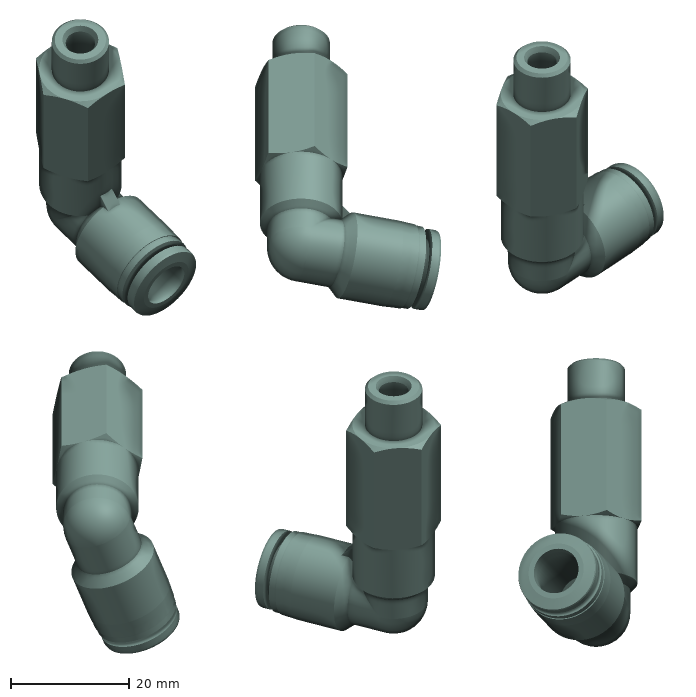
import cadquery as cq
import math

height = 51.4
port_end = 23.05
sleeve_radius = 14.8 / 2
port_axis_z = sleeve_radius

hex_flats = 14.0
hex_corners = hex_flats / math.cos(math.pi / 6)
hex_bottom = 22.45
hex_top = 43.45
hex_chamfer_angle = math.radians(30)
envelope_margin = 0.5
body_radius = hex_flats / 2
body_bottom = 12.5
stem_radius = 9.7 / 2
stem_chamfer = 0.5
elbow_radius = 5.8
body_cone_bottom = body_bottom - (body_radius - elbow_radius)

cone_start = 5.95
sleeve_start = 7.75
taper_start = 15.8
taper_end = 18.7
taper_end_radius = 7.25
rim_radius = 7.1
rim_end = 20.0
rim_face_radius = 6.35
sleeve_end = 20.15
neck_radius = 9.9 / 2
neck_flare_start = 20.75
neck_flare_radius = 5.15
collar_start = 21.1
collar_radius = 13.8 / 2
collar_bevel_start = 22.4
collar_face_start = 22.7
collar_face_outer_radius = 6.8
collar_face_inner_radius = 4.9

web_width = 2.5
web_top = 16.8

stem_bore_radius = 5.0 / 2
stem_bore_depth = 10.3
stem_countersink_radius = 3.05
countersink_depth = 0.9
passage_radius = 4.4 / 2
tube_bore_radius = 7.9 / 2
tube_bore_start = sleeve_start


def cylinder_z(radius, bottom, top):
    return cq.Workplane("XY").workplane(offset=bottom).circle(radius).extrude(top - bottom)


def cylinder_x(radius, start, end):
    plane = cq.Plane(origin=(start, 0, port_axis_z), xDir=(0, 1, 0), normal=(1, 0, 0))
    return cq.Workplane(plane).circle(radius).extrude(end - start)


def ball(radius):
    return cq.Workplane("XY").sphere(radius).translate((0, 0, port_axis_z))


def revolve_z(points):
    """Revolve (radius, z) points about the upright axis."""
    return cq.Workplane("XZ").polyline(points).close().revolve(360, (0, 0, 0), (0, 1, 0))


def make_elbow():
    upright = cylinder_z(elbow_radius, port_axis_z, body_bottom)
    return ball(elbow_radius).union(upright).union(cylinder_x(elbow_radius, 0, sleeve_start))


def make_body():
    return revolve_z([
        (0, body_cone_bottom),
        (elbow_radius, body_cone_bottom),
        (body_radius, body_bottom),
        (body_radius, hex_bottom),
        (0, hex_bottom),
    ])


def make_hexagon():
    """Hexagon with flats facing X and conical chamfers on both ends."""
    prism = (
        cq.Workplane("XY").workplane(offset=hex_bottom)
        .polygon(6, hex_corners).extrude(hex_top - hex_bottom)
        .rotate((0, 0, 0), (0, 0, 1), 30)
    )
    envelope_radius = hex_corners / 2 + envelope_margin
    cone_height = (envelope_radius - body_radius) * math.tan(hex_chamfer_angle)
    envelope = revolve_z([
        (0, hex_bottom),
        (body_radius, hex_bottom),
        (envelope_radius, hex_bottom + cone_height),
        (envelope_radius, hex_top - cone_height),
        (body_radius, hex_top),
        (0, hex_top),
    ])
    return prism.intersect(envelope)


def make_stem():
    return cylinder_z(stem_radius, hex_top, height).faces(">Z").chamfer(stem_chamfer)


def make_port():
    """Sleeve, neck and release collar, revolved about the port axis."""
    profile = [
        (cone_start, 0),
        (cone_start, elbow_radius),
        (sleeve_start, sleeve_radius),
        (taper_start, sleeve_radius),
        (taper_end, taper_end_radius),
        (taper_end, rim_radius),
        (rim_end, rim_radius),
        (sleeve_end, rim_face_radius),
        (sleeve_end, neck_radius),
        (neck_flare_start, neck_radius),
        (collar_start, neck_flare_radius),
        (collar_start, collar_radius),
        (collar_bevel_start, collar_radius),
        (collar_face_start, collar_face_outer_radius),
        (port_end, collar_face_inner_radius),
        (port_end, 0),
    ]
    port = cq.Workplane("XZ").polyline(profile).close().revolve(360, (0, 0, 0), (1, 0, 0))
    return port.translate((0, 0, port_axis_z))


def make_web():
    """Web with a 45 degree upper edge that runs down into the sleeve."""
    web_bottom = port_axis_z + elbow_radius
    return (
        cq.Workplane("XZ")
        .moveTo(0, web_bottom)
        .lineTo(body_radius + web_top - web_bottom, web_bottom)
        .lineTo(body_radius, web_top)
        .lineTo(0, web_top)
        .close().extrude(web_width / 2, both=True)
    )


def make_passage():
    """Stem bore, rounded elbow passage and tube bore."""
    stem_bore = cylinder_z(stem_bore_radius, height - stem_bore_depth, height)
    countersink = revolve_z([
        (0, height),
        (stem_countersink_radius, height),
        (stem_bore_radius, height - countersink_depth),
        (0, height - countersink_depth),
    ])
    upright = cylinder_z(passage_radius, port_axis_z, height)
    sideways = cylinder_x(passage_radius, 0, port_end)
    tube_bore = cylinder_x(tube_bore_radius, tube_bore_start, port_end)
    return (
        ball(passage_radius).union(upright).union(sideways)
        .union(stem_bore).union(countersink).union(tube_bore)
    )


result = (
    make_elbow()
    .union(make_body())
    .union(make_hexagon())
    .union(make_stem())
    .union(make_port())
    .union(make_web())
    .cut(make_passage())
)